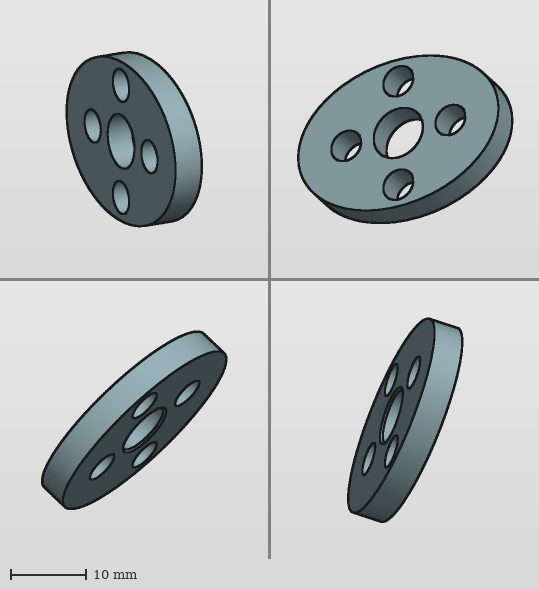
import cadquery as cq

plate_length = 30.0
plate_height = 22.16
plate_thickness = 4.0
center_hole_diameter = 7.35
center_hole_chamfer = 0.3
outer_hole_diameter = 4.46
outer_hole_circle_radius = 7.8
outer_hole_count = 4


def back_plane():
    """Workplane on the back face (Y = plate_thickness); extrusions run toward the front face at Y = 0."""
    return cq.Workplane("XZ", origin=(0, plate_thickness, 0))


def elliptical_plate():
    """Flat elliptical plate."""
    return back_plane().ellipse(plate_length / 2, plate_height / 2).extrude(plate_thickness)


def center_hole():
    """Cutter for the middle through hole, with its chamfered back rim."""
    bore_radius = center_hole_diameter / 2
    bore = back_plane().circle(bore_radius).extrude(plate_thickness)
    chamfer_cone = (
        back_plane()
        .circle(bore_radius + center_hole_chamfer)
        .workplane(offset=center_hole_chamfer)
        .circle(bore_radius)
        .loft()
    )
    return bore.union(chamfer_cone)


def outer_holes():
    """Cutter for the through holes spaced evenly around the center, starting on the X axis."""
    return (
        back_plane()
        .polarArray(outer_hole_circle_radius, 0, 360, outer_hole_count)
        .circle(outer_hole_diameter / 2)
        .extrude(plate_thickness)
    )


result = elliptical_plate().cut(center_hole()).cut(outer_holes())